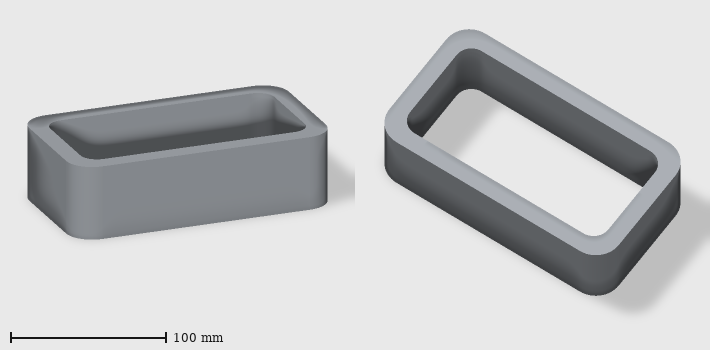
import cadquery as cq

width = 100.0
length = 180.0
height = 50.0
wall = 12.2
outer_corner_radius = 18.0
inner_corner_radius = 11.5


def rounded_block(size_x, size_y, corner_radius):
    """Full-height block with rounded vertical edges, centred on the Z axis."""
    block = cq.Workplane("XY").rect(size_x, size_y).extrude(height)
    return block.edges("|Z").fillet(corner_radius)


body = rounded_block(width, length, outer_corner_radius)
opening = rounded_block(width - 2 * wall, length - 2 * wall, inner_corner_radius)

result = body.cut(opening)